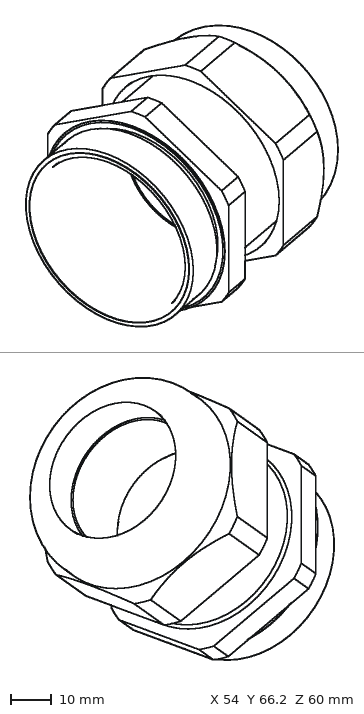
import cadquery as cq
import math

HEX_ACROSS_FLATS = 54.0
NUT_CORNER_RADIUS = 29.9
BODY_CORNER_RADIUS = 30.0

THREAD_START_Y = 0.2
THREAD_END_Y = 10.5
BODY_HEX_START_Y = 12.7
BODY_HEX_END_Y = 19.9
NUT_START_Y = 36.65
NUT_HEX_END_Y = 54.6
TOTAL_LENGTH = 66.15

CORE_RADIUS = 23.8
THREAD_RADIUS = 25.0
BARREL_RADIUS = 23.5
BARREL_END_Y = 55.55
BORE_RADIUS = 22.3
BORE_MOUTH_FILLET = 0.9
BARREL_ROOT_CHAMFER = 0.8
BORE_END_Y = 25.35
FUNNEL_FILLET = 2.45
FUNNEL_ENTRY_ANGLE = math.radians(36)
FUNNEL_LENGTH = 6.9
THROAT_RADIUS = 17.9
LIP_RADIUS = 26.8
LIP_ROOT_RADIUS = 25.55
LIP_HEIGHT = 1.4
LIP_EDGE_HEIGHT = 0.1
LIP_RIM_WIDTH = 0.5

DOME_RADIUS = 26.8
DOME_FILLET = 7.7
NUT_BORE_RADIUS = 25.7
CABLE_OPENING_RADIUS = THROAT_RADIUS

SEAL_OUTER_RADIUS = 20.5
SEAL_BORE_RADIUS = 17.4

FUNNEL_START_RADIUS = BORE_RADIUS - FUNNEL_FILLET * (1 - math.cos(FUNNEL_ENTRY_ANGLE))
FUNNEL_START_Y = BORE_END_Y + FUNNEL_FILLET * math.sin(FUNNEL_ENTRY_ANGLE)
FUNNEL_END_Y = FUNNEL_START_Y + FUNNEL_LENGTH


def revolve_about_y(profile):
    """Turn a closed (radius, y) wire into a solid of revolution around the Y axis."""
    return profile.revolve(360, (0, 0, 0), (0, 1, 0))


def cylinder(radius, start_y, end_y):
    return cq.Workplane("XZ", origin=(0, start_y, 0)).circle(radius).extrude(start_y - end_y)


def hexagon(corner_radius, start_y, end_y):
    """Hexagonal prism with flats at +X and -X and its corners turned down to a cylinder."""
    corner_distance = HEX_ACROSS_FLATS / math.sqrt(3)
    corners = [
        (
            corner_distance * math.sin(math.radians(60 * index)),
            corner_distance * math.cos(math.radians(60 * index)),
        )
        for index in range(6)
    ]
    prism = cq.Workplane("XZ", origin=(0, start_y, 0)).polyline(corners).close().extrude(start_y - end_y)
    return prism.intersect(cylinder(corner_radius, start_y, end_y))


def sealing_lip():
    tip_y = BODY_HEX_START_Y - LIP_HEIGHT
    profile = (
        cq.Workplane("XY")
        .moveTo(CORE_RADIUS, BODY_HEX_START_Y)
        .lineTo(LIP_ROOT_RADIUS, BODY_HEX_START_Y)
        .lineTo(LIP_RADIUS, tip_y + LIP_EDGE_HEIGHT)
        .lineTo(LIP_RADIUS, tip_y)
        .lineTo(LIP_RADIUS - LIP_RIM_WIDTH, tip_y)
        .close()
    )
    return revolve_about_y(profile)


def barrel_root():
    """Conical foot of the barrel on the hexagon face."""
    top_y = BODY_HEX_END_Y + BARREL_ROOT_CHAMFER
    profile = (
        cq.Workplane("XY")
        .moveTo(0, BODY_HEX_END_Y)
        .lineTo(BARREL_RADIUS + BARREL_ROOT_CHAMFER, BODY_HEX_END_Y)
        .lineTo(BARREL_RADIUS, top_y)
        .lineTo(0, top_y)
        .close()
    )
    return revolve_about_y(profile)


def body_passage():
    """Space inside the body: rounded mouth, bore, filleted funnel and seat for the sealing ring."""
    profile = (
        cq.Workplane("XY")
        .moveTo(0, 0)
        .lineTo(BORE_RADIUS + BORE_MOUTH_FILLET, 0)
        .radiusArc((BORE_RADIUS, BORE_MOUTH_FILLET), BORE_MOUTH_FILLET)
        .lineTo(BORE_RADIUS, BORE_END_Y)
        .tangentArcPoint((FUNNEL_START_RADIUS, FUNNEL_START_Y), relative=False)
        .tangentArcPoint((THROAT_RADIUS, FUNNEL_END_Y), relative=False)
        .lineTo(SEAL_OUTER_RADIUS, FUNNEL_END_Y)
        .lineTo(SEAL_OUTER_RADIUS, BARREL_END_Y)
        .lineTo(0, BARREL_END_Y)
        .close()
    )
    return revolve_about_y(profile)


def make_body():
    core = cylinder(CORE_RADIUS, 0, BODY_HEX_START_Y)
    thread = cylinder(THREAD_RADIUS, THREAD_START_Y, THREAD_END_Y)
    collar = hexagon(BODY_CORNER_RADIUS, BODY_HEX_START_Y, BODY_HEX_END_Y)
    barrel = cylinder(BARREL_RADIUS, BODY_HEX_END_Y, BARREL_END_Y)
    outside = core.union(thread).union(sealing_lip()).union(collar).union(barrel_root()).union(barrel)
    return outside.cut(body_passage())


def make_nut():
    hex_part = hexagon(NUT_CORNER_RADIUS, NUT_START_Y, NUT_HEX_END_Y)
    chamfer = NUT_CORNER_RADIUS - DOME_RADIUS
    envelope = cylinder(NUT_CORNER_RADIUS, NUT_START_Y, NUT_HEX_END_Y).faces(">Y").chamfer(chamfer)
    dome = cylinder(DOME_RADIUS, NUT_START_Y, TOTAL_LENGTH).faces(">Y").edges().fillet(DOME_FILLET)
    cavity = cylinder(NUT_BORE_RADIUS, NUT_START_Y, BARREL_END_Y)
    opening = cylinder(CABLE_OPENING_RADIUS, BARREL_END_Y, TOTAL_LENGTH)
    return hex_part.intersect(envelope).union(dome).cut(cavity).cut(opening)


def make_seal():
    ring = cylinder(SEAL_OUTER_RADIUS, FUNNEL_END_Y, BARREL_END_Y)
    return ring.cut(cylinder(SEAL_BORE_RADIUS, FUNNEL_END_Y, BARREL_END_Y))


body = make_body()
nut = make_nut()
seal = make_seal()

result = cq.Compound.makeCompound([body.val(), nut.val(), seal.val()])